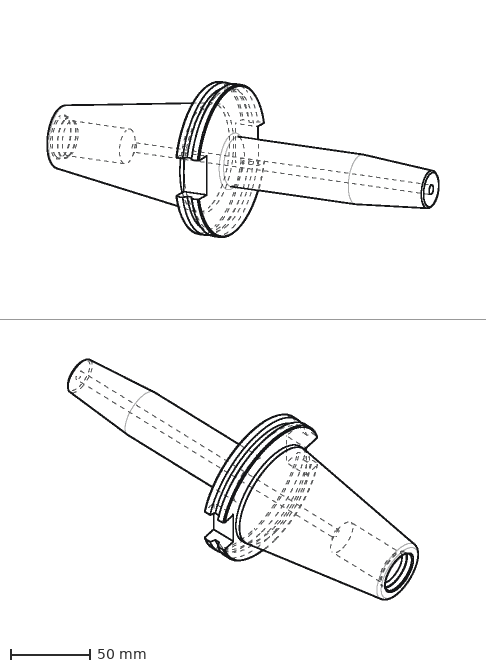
import cadquery as cq
import math

total_length = 261.5
gauge_x = 101.8
flange_x = 104.6
flange_width = 16.2
flange_end_x = flange_x + flange_width
nose_cone_x = 210.9

gauge_diameter = 69.9
taper_ratio = 7 / 24
neck_diameter = 70.0
flange_diameter = 97.3
shank_diameter = 32.0
nose_angle = 4.5
small_end_round = 2.0
flange_chamfer = 0.8
shank_fillet = 2.0
nose_chamfer = 1.0

groove_offset = 5.0
groove_top_width = 6.3
groove_floor_width = 3.1
groove_depth = 3.1

slot_width = 25.6
deep_slot_floor = 35.0
shallow_slot_floor = 37.5

mouth_diameter = 28.3
counterbore_diameter = 26.7
counterbore_depth = 4.5
seat_diameter = 25.5
bore_diameter = 22.2
bore_start = 6.8
bore_depth = 47
drill_point_angle = 118
coolant_diameter = 6.0


def make_body():
    """Revolved taper, flange, shank and conical nose."""
    taper_radius = (gauge_diameter - taper_ratio * gauge_x) / 2
    nose_length = total_length - nose_cone_x
    nose_radius = shank_diameter / 2 - nose_length * math.tan(math.radians(nose_angle))
    body = (
        cq.Workplane("XY")
        .lineTo(0, taper_radius)
        .lineTo(gauge_x, gauge_diameter / 2)
        .lineTo(gauge_x, neck_diameter / 2)
        .lineTo(flange_x, neck_diameter / 2)
        .lineTo(flange_x, flange_diameter / 2)
        .lineTo(flange_end_x, flange_diameter / 2)
        .lineTo(flange_end_x, shank_diameter / 2)
        .lineTo(nose_cone_x, shank_diameter / 2)
        .lineTo(total_length, nose_radius)
        .lineTo(total_length, 0)
        .close()
        .revolve(360, (0, 0, 0), (1, 0, 0))
    )
    body = body.faces("<X").edges().fillet(small_end_round)
    body = body.faces(">X").edges().chamfer(nose_chamfer)
    shank_root = cq.selectors.RadiusNthSelector(0)
    body = body.faces(cq.selectors.NearestToPointSelector(
        (flange_end_x, (shank_diameter + flange_diameter) / 4, 0)
    )).edges(shank_root).fillet(shank_fillet)
    flange_edges = cq.selectors.RadiusNthSelector(-1)
    return body.edges(flange_edges).chamfer(flange_chamfer)


def make_groove():
    """Ring that cuts the gripper groove."""
    outer_radius = flange_diameter / 2
    floor_radius = outer_radius - groove_depth
    wall_run = (groove_top_width - groove_floor_width) / 2
    start = flange_x + groove_offset
    end = start + groove_top_width
    return (
        cq.Workplane("XY")
        .moveTo(start, outer_radius)
        .lineTo(start + wall_run, floor_radius)
        .lineTo(end - wall_run, floor_radius)
        .lineTo(end, outer_radius)
        .close()
        .revolve(360, (0, 0, 0), (1, 0, 0))
    )


def make_slot(floor_distance, side):
    """Drive slot across the flange on the +Y (side = 1) or -Y (side = -1) side."""
    reach = flange_diameter / 2
    return (
        cq.Workplane("XY")
        .box(flange_width, reach, slot_width)
        .translate((flange_x + flange_width / 2, side * (floor_distance + reach / 2), 0))
    )


def make_bore():
    """Stepped bore with a drill point and a coolant hole through the full length."""
    coolant_radius = coolant_diameter / 2
    mouth_chamfer = (mouth_diameter - counterbore_diameter) / 2
    point_length = (bore_diameter / 2 - coolant_radius) / math.tan(math.radians(drill_point_angle / 2))
    return (
        cq.Workplane("XY")
        .lineTo(0, mouth_diameter / 2)
        .lineTo(mouth_chamfer, counterbore_diameter / 2)
        .lineTo(counterbore_depth, counterbore_diameter / 2)
        .lineTo(counterbore_depth, seat_diameter / 2)
        .lineTo(bore_start, bore_diameter / 2)
        .lineTo(bore_depth, bore_diameter / 2)
        .lineTo(bore_depth + point_length, coolant_radius)
        .lineTo(total_length, coolant_radius)
        .lineTo(total_length, 0)
        .close()
        .revolve(360, (0, 0, 0), (1, 0, 0))
    )


result = (
    make_body()
    .cut(make_groove())
    .cut(make_slot(deep_slot_floor, -1))
    .cut(make_slot(shallow_slot_floor, 1))
    .cut(make_bore())
)